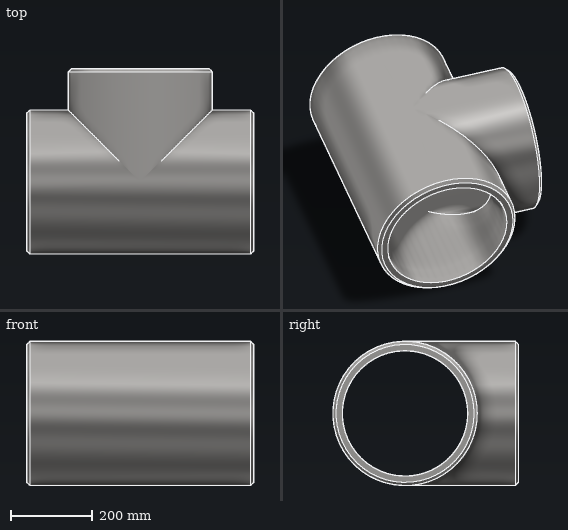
import cadquery as cq

outer_diameter = 355.6
wall_thickness = 23.8
center_to_end = 279.4
bevel_size = 8.0

outer_radius = outer_diameter / 2
inner_radius = outer_radius - wall_thickness
run_length = 2 * center_to_end


def run_cylinder(radius):
    """Cylinder along X, centred on the origin, spanning both run ends."""
    run_start = cq.Workplane("YZ", origin=(-center_to_end, 0, 0))
    return run_start.circle(radius).extrude(run_length)


def branch_cylinder(radius):
    """Cylinder from the run axis out to the branch end on +Y."""
    return cq.Workplane("XZ").circle(radius).extrude(-center_to_end)


def bevel_ends(pipe, face_selector):
    """Bevel the rim of the selected ends of a solid pipe blank."""
    return pipe.faces(face_selector).edges().chamfer(bevel_size)


run = bevel_ends(run_cylinder(outer_radius), "<X or >X")
branch = bevel_ends(branch_cylinder(outer_radius), ">Y")
bores = run_cylinder(inner_radius).union(branch_cylinder(inner_radius))

result = run.union(branch).cut(bores)